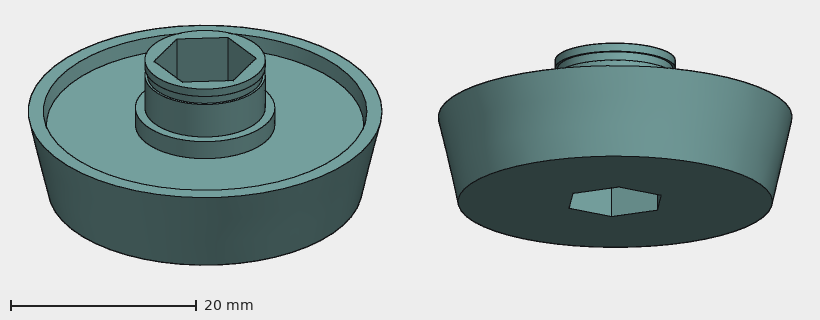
import cadquery as cq
import math

rim_diameter = 38.07
base_diameter = 33.8
dish_height = 9.5
rim_wall = 1.65
cavity_depth = 1.65
cavity_floor_diameter = 34.1

flange_diameter = 15.0
flange_rise = 0.45
hub_diameter = 12.95
overall_height = 15.88

groove_diameter = 12.4
groove_width = 1.0
groove_lip = 0.9

hex_across_flats = 9.5

hex_across_corners = hex_across_flats / math.cos(math.radians(30))
cavity_floor = dish_height - cavity_depth
cavity_rim_diameter = rim_diameter - 2 * rim_wall
flange_top = dish_height + flange_rise
groove_top = overall_height - groove_lip
groove_bottom = groove_top - groove_width


def make_turned_body():
    """Revolve the dish, flange and grooved hub as one half profile."""
    profile = [
        (0, 0),
        (base_diameter / 2, 0),
        (rim_diameter / 2, dish_height),
        (cavity_rim_diameter / 2, dish_height),
        (cavity_floor_diameter / 2, cavity_floor),
        (flange_diameter / 2, cavity_floor),
        (flange_diameter / 2, flange_top),
        (hub_diameter / 2, flange_top),
        (hub_diameter / 2, groove_bottom),
        (groove_diameter / 2, groove_bottom),
        (groove_diameter / 2, groove_top),
        (hub_diameter / 2, groove_top),
        (hub_diameter / 2, overall_height),
        (0, overall_height),
    ]
    return cq.Workplane("XZ").polyline(profile).close().revolve(360, (0, 0), (0, 1))


def make_hex_bore():
    """Hexagonal prism with two corners on the X axis."""
    return cq.Workplane("XY").polygon(6, hex_across_corners).extrude(overall_height)


result = make_turned_body().cut(make_hex_bore())